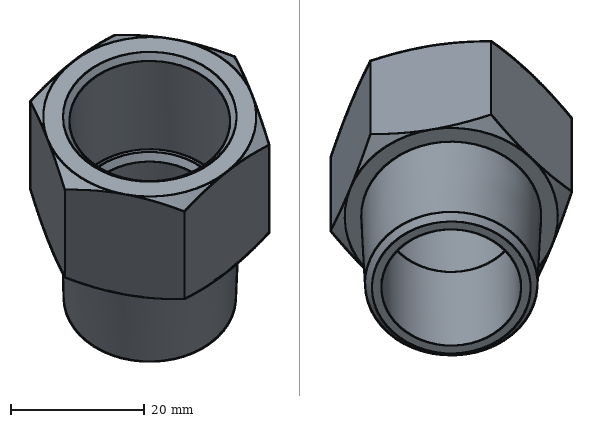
import cadquery as cq
import math

total_height = 41.9
hex_height = 22.7

across_flats = 32.0
across_corners = across_flats / math.cos(math.radians(30))
head_chamfer_angle = 30.0

spigot_top_diameter = 27.05
taper_ratio = 1 / 16
spigot_chamfer = 1.05

through_diameter = 21.0
socket_diameter = 24.15
socket_mouth_diameter = 26.05
socket_depth = 20.95
countersink_diameter = 23.05

head_bottom = total_height - hex_height


def revolve_profile(points):
    """Revolve a closed (radius, height) outline about the Z axis."""
    return cq.Workplane("XZ").polyline(points).close().revolve(360, (0, 0, 0), (0, 1, 0))


def make_head():
    """Hexagonal prism with conical chamfers on the corners at both ends."""
    prism = cq.Workplane("XY").workplane(offset=head_bottom).polygon(6, across_corners).extrude(hex_height)
    flat_radius = across_flats / 2
    corner_radius = across_corners / 2
    chamfer_height = (corner_radius - flat_radius) * math.tan(math.radians(head_chamfer_angle))
    envelope = revolve_profile([
        (0, head_bottom),
        (flat_radius, head_bottom),
        (corner_radius, head_bottom + chamfer_height),
        (corner_radius, total_height - chamfer_height),
        (flat_radius, total_height),
        (0, total_height),
    ])
    return prism.intersect(envelope)


def make_spigot():
    """Tapered round end with a 45 degree chamfer at its tip."""
    top_radius = spigot_top_diameter / 2
    tip_radius = top_radius - (head_bottom - spigot_chamfer) * taper_ratio / 2
    return revolve_profile([
        (0, 0),
        (tip_radius - spigot_chamfer, 0),
        (tip_radius, spigot_chamfer),
        (top_radius, head_bottom),
        (0, head_bottom),
    ])


def make_bore():
    """Countersunk through hole below a wider socket, with 45 degree cones at both mouths."""
    mouth_chamfer = (socket_mouth_diameter - socket_diameter) / 2
    countersink_depth = (countersink_diameter - through_diameter) / 2
    floor_height = total_height - socket_depth
    return revolve_profile([
        (0, 0),
        (through_diameter / 2, 0),
        (through_diameter / 2, floor_height - countersink_depth),
        (countersink_diameter / 2, floor_height),
        (socket_diameter / 2, floor_height),
        (socket_diameter / 2, total_height - mouth_chamfer),
        (socket_mouth_diameter / 2, total_height),
        (0, total_height),
    ])


result = make_head().union(make_spigot()).cut(make_bore())